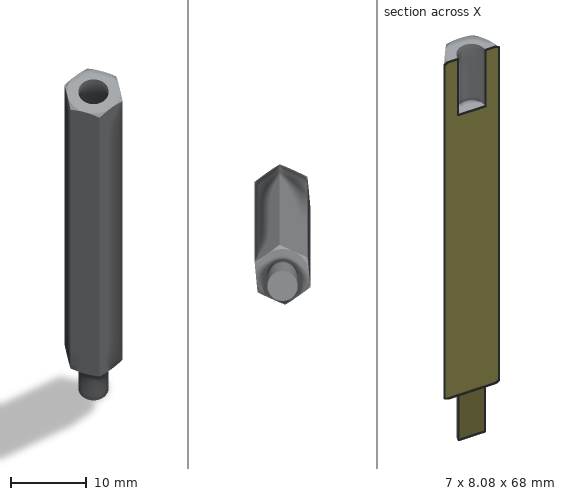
import cadquery as cq
import math

across_flats = 7.0
half_side_angle = 30.0
across_corners = across_flats / math.cos(math.radians(half_side_angle))
hex_length = 60.0

chamfer_angle = 30.0
corner_overhang = (across_corners - across_flats) / 2
chamfer_height = corner_overhang * math.tan(math.radians(chamfer_angle))

thread_diameter = 4.0
hole_depth = 10.0
stud_length = 8.0


def make_standoff():
    """Hexagonal bar with trimmed corners at both ends and a blind hole in the top."""
    hexagon = (
        cq.Workplane("XY")
        .polygon(6, across_corners)
        .extrude(hex_length)
        .rotate((0, 0, 0), (0, 0, 1), half_side_angle)
    )
    corner_trim = (
        cq.Workplane("XY")
        .circle(across_corners / 2)
        .extrude(hex_length)
        .faces("<Z or >Z")
        .chamfer(chamfer_height, corner_overhang)
    )
    hole = (
        cq.Workplane("XY")
        .workplane(offset=hex_length - hole_depth)
        .circle(thread_diameter / 2)
        .extrude(hole_depth)
    )
    return hexagon.intersect(corner_trim).cut(hole)


def make_stud():
    """Plain round stud that meets the underside of the standoff."""
    return cq.Workplane("XY").circle(thread_diameter / 2).extrude(-stud_length)


standoff = make_standoff()
stud = make_stud()

result = cq.Compound.makeCompound([standoff.val(), stud.val()])